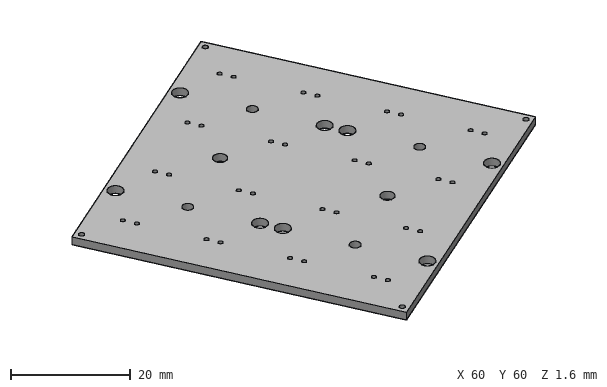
import cadquery as cq

side = 60.0
thickness = 1.6

quadrant_center = side / 4

cells_per_side = 4
cell_pitch = side / cells_per_side
pin_spacing = 2.5
pin_diameter = 0.85

corner_inset = 1.25
corner_diameter = 1.0

quadrant_diameter = 2.0
flank_offset = 12.95
flank_diameter = 2.8

axis_diameter = 2.5


def drill(plate, diameter, points):
    """Cut through holes of one diameter at the given points."""
    return plate.faces(">Z").workplane(origin=(0, 0, 0)).pushPoints(points).hole(diameter)


def mirrored(x, y):
    """Return the four points that mirror (x, y) about both axes."""
    return [(sx * x, sy * y) for sx in (-1, 1) for sy in (-1, 1)]


cell_centers = [(i + 0.5) * cell_pitch - side / 2 for i in range(cells_per_side)]
pin_points = [
    (x + shift, y)
    for x in cell_centers
    for y in cell_centers
    for shift in (-pin_spacing / 2, pin_spacing / 2)
]
corner_position = side / 2 - corner_inset
flank_points = [
    point
    for offset in (-flank_offset, flank_offset)
    for point in mirrored(quadrant_center + offset, quadrant_center)
]

result = cq.Workplane("XY").box(side, side, thickness)
result = drill(result, pin_diameter, pin_points)
result = drill(result, corner_diameter, mirrored(corner_position, corner_position))
result = drill(result, quadrant_diameter, mirrored(quadrant_center, quadrant_center))
result = drill(result, flank_diameter, flank_points)
result = drill(result, axis_diameter, [(-quadrant_center, 0), (quadrant_center, 0)])